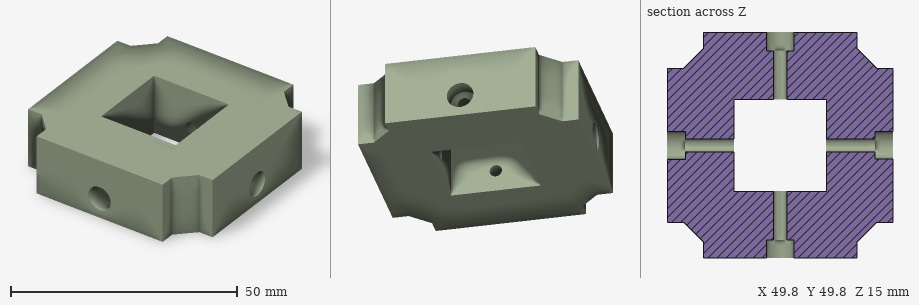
import cadquery as cq

width = 49.8
height = 15.0

flat_width = 34.0
notch_side = (width - flat_width) / 2
notch_bevel = 4.3

window_width = 20.2

screw_diameter = 2.8
head_diameter = 6.0
head_depth = 4.0
screw_height = 5.0

half_width = width / 2
wall = (width - window_width) / 2


def make_block():
    return cq.Workplane("XY").rect(width, width).extrude(height)


def make_corner_notch():
    """Cutter for the +X +Y corner; the bevel leaves material at the inner corner."""
    inner = half_width - notch_side
    return (
        cq.Workplane("XY")
        .moveTo(inner, half_width)
        .lineTo(inner, inner + notch_bevel)
        .lineTo(inner + notch_bevel, inner)
        .lineTo(half_width, inner)
        .lineTo(half_width, half_width)
        .close()
        .extrude(height)
    )


def make_window():
    return cq.Workplane("XY").rect(window_width, window_width).extrude(height)


def make_screw_hole():
    """Cutter entering the -Y side and running inward to the window."""
    side_face = cq.Workplane("XZ", origin=(0, -half_width, screw_height))
    shank = side_face.circle(screw_diameter / 2).extrude(-wall)
    head = side_face.circle(head_diameter / 2).extrude(-head_depth)
    return shank.union(head)


result = make_block().cut(make_window())
for side in range(4):
    angle = 90 * side
    result = result.cut(make_corner_notch().rotate((0, 0, 0), (0, 0, 1), angle))
    result = result.cut(make_screw_hole().rotate((0, 0, 0), (0, 0, 1), angle))